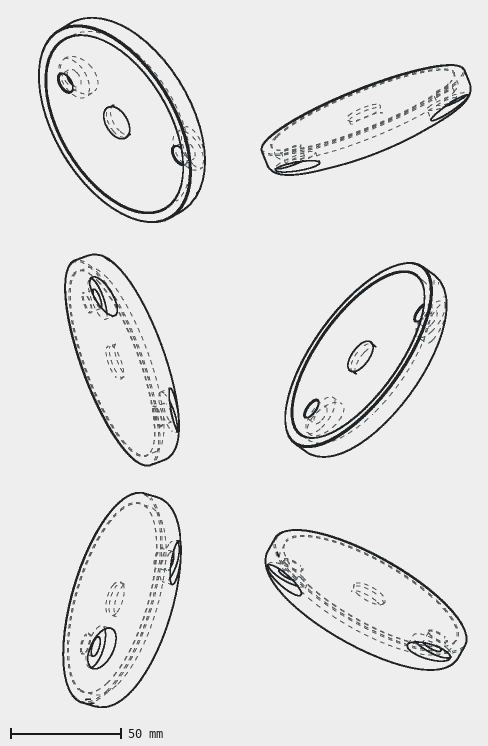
import cadquery as cq
import math

outer_radius = 49.5
thickness = 18.0
dome_radius = 176.2
edge_fillet = 4.95
rim_chamfer = 0.5

recess_radius = 44.5
recess_depth = 5.1
recess_chamfer = 0.4
recess_floor_fillet = 0.5

stem_radius = 7.6
stem_base_fillet = 0.4
head_radius = 8.0
head_bead = 1.0
head_face = 0.6
button_overlap = 1.0

hole_spacing = 74.1
hole_diameter = 9.1
hole_chamfer = 0.4
counterbore_diameter = 19.8
counterbore_floor = 10.6


def make_domed_body():
    """Revolve the outside: rim chamfer, straight wall, rounded edge and dome."""
    dome_centre = thickness - dome_radius
    fillet_centre_r = outer_radius - edge_fillet
    fillet_centre_y = dome_centre + math.sqrt((dome_radius - edge_fillet) ** 2 - fillet_centre_r ** 2)
    tangent_angle = math.atan2(fillet_centre_y - dome_centre, fillet_centre_r)

    def on_fillet(angle):
        return (
            fillet_centre_r + edge_fillet * math.cos(angle),
            fillet_centre_y + edge_fillet * math.sin(angle),
        )

    def on_dome(angle):
        return (dome_radius * math.cos(angle), dome_centre + dome_radius * math.sin(angle))

    return (
        cq.Workplane("XY")
        .lineTo(outer_radius - rim_chamfer, 0)
        .lineTo(outer_radius, rim_chamfer)
        .lineTo(*on_fillet(0))
        .threePointArc(on_fillet(tangent_angle / 2), on_fillet(tangent_angle))
        .threePointArc(on_dome((tangent_angle + math.pi / 2) / 2), (0, thickness))
        .close()
        .revolve(360, (0, 0, 0), (0, 1, 0))
    )


def disc(radius, start, end, x=0):
    """Cylinder along Y between two heights."""
    return cq.Workplane("XZ", origin=(x, start, 0)).circle(radius).extrude(start - end)


def make_recess():
    """Round pocket with a rounded floor corner and a chamfered mouth."""
    pocket = disc(recess_radius, 0, recess_depth).faces(">Y").edges().fillet(recess_floor_fillet)
    mouth = (
        cq.Workplane("XY")
        .lineTo(recess_radius + recess_chamfer, 0)
        .lineTo(recess_radius, recess_chamfer)
        .lineTo(0, recess_chamfer)
        .close()
        .revolve(360, (0, 0, 0), (0, 1, 0))
    )
    return pocket.union(mouth)


def make_button():
    """Central button: a stem flared into the recess floor, under a slightly wider rounded head."""
    bead_centre_r = head_radius - head_bead
    bead_centre_y = head_face + head_bead
    bead_end_y = bead_centre_y + math.sqrt(head_bead ** 2 - (stem_radius - bead_centre_r) ** 2)
    flare_centre_r = stem_radius + stem_base_fillet
    flare_start_y = recess_depth - stem_base_fillet
    flare_middle = (
        flare_centre_r - stem_base_fillet * math.cos(math.pi / 4),
        flare_start_y + stem_base_fillet * math.sin(math.pi / 4),
    )
    root_y = recess_depth + button_overlap
    return (
        cq.Workplane("XY")
        .moveTo(0, head_face)
        .lineTo(bead_centre_r, head_face)
        .threePointArc((head_radius, bead_centre_y), (stem_radius, bead_end_y))
        .lineTo(stem_radius, flare_start_y)
        .threePointArc(flare_middle, (flare_centre_r, recess_depth))
        .lineTo(flare_centre_r, root_y)
        .lineTo(0, root_y)
        .close()
        .revolve(360, (0, 0, 0), (0, 1, 0))
    )


def make_screw_hole(x):
    """Through hole chamfered at the recess floor and counterbored from the dome."""
    bore = disc(hole_diameter / 2, recess_depth, thickness, x)
    counterbore = disc(counterbore_diameter / 2, counterbore_floor, thickness, x)
    mouth_radius = hole_diameter / 2 + hole_chamfer
    mouth = cq.Workplane(
        cq.Solid.makeCone(
            mouth_radius, hole_diameter / 2, hole_chamfer,
            cq.Vector(x, recess_depth, 0), cq.Vector(0, 1, 0),
        )
    )
    return bore.union(counterbore).union(mouth)


result = make_domed_body().cut(make_recess()).union(make_button())
for side in (-1, 1):
    result = result.cut(make_screw_hole(side * hole_spacing / 2))